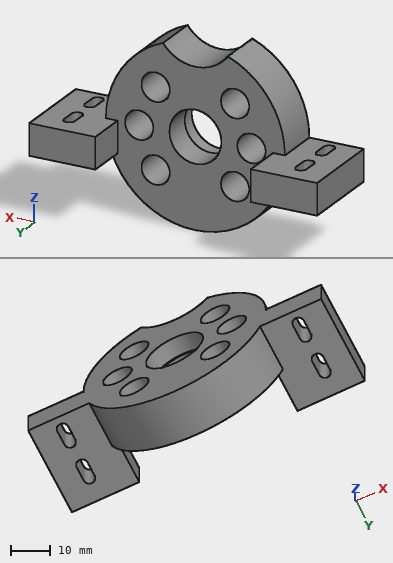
import cadquery as cq
import math

disc_radius = 25.5
disc_thickness = 13.1

notch_corner_height = 23.8
notch_floor_height = 19.1

bore_diameter = 14.8
counterbore_diameter = 16.0
counterbore_depth = 4.9

ring_hole_diameter = 8.0
ring_radius = 16.0
ring_hole_angles = [-45, 0, 45, 135, 180, 225]

overall_length = 82.0
tab_length = 18.9
tab_depth = 25.0
tab_thickness = 8.9

slot_width = 3.0
slot_length = 7.05
slot_offset = 33.0
slot_front_y = 5.5
slot_spacing = 11.0


def cylinder_along_y(diameter, depth, x=0.0, z=0.0):
    """Round bar that starts on the front face and runs back along +Y."""
    return (
        cq.Workplane("XZ", origin=(x, 0, z))
        .circle(diameter / 2)
        .extrude(-depth)
    )


def make_notch():
    """Round bar whose lowest line is the notch floor and which meets the rim at the notch corners."""
    half_width = math.sqrt(disc_radius**2 - notch_corner_height**2)
    sag = notch_corner_height - notch_floor_height
    radius = (half_width**2 + sag**2) / (2 * sag)
    return cylinder_along_y(2 * radius, disc_thickness, z=notch_floor_height + radius)


def make_tab(side):
    """Slotted mounting tab; side is -1 for the -X end and +1 for the +X end."""
    tab_center_x = side * (overall_length - tab_length) / 2
    tab = (
        cq.Workplane("XY", origin=(tab_center_x, tab_depth / 2, -tab_thickness / 2))
        .box(tab_length, tab_depth, tab_thickness)
    )
    slot_centers = [
        (side * slot_offset, slot_front_y),
        (side * slot_offset, slot_front_y + slot_spacing),
    ]
    slots = (
        cq.Workplane("XY")
        .pushPoints(slot_centers)
        .slot2D(slot_length, slot_width, angle=90)
        .extrude(-tab_thickness)
    )
    return tab.cut(slots)


result = cylinder_along_y(2 * disc_radius, disc_thickness).cut(make_notch())
for side in (-1, 1):
    result = result.union(make_tab(side))

result = result.cut(cylinder_along_y(bore_diameter, disc_thickness))
result = result.cut(cylinder_along_y(counterbore_diameter, counterbore_depth))

for angle in ring_hole_angles:
    hole_x = ring_radius * math.cos(math.radians(angle))
    hole_z = ring_radius * math.sin(math.radians(angle))
    result = result.cut(cylinder_along_y(ring_hole_diameter, disc_thickness, hole_x, hole_z))